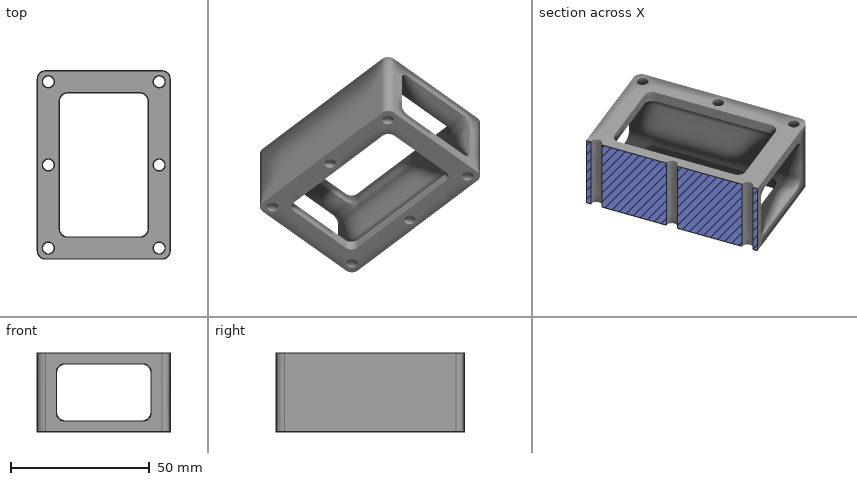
import cadquery as cq

width = 48.0
length = 68.0
height = 28.5
corner_radius = 3.0

window_width = 32.0
window_length = 52.0
window_radius = 3.0

passage_width = 34.0
passage_radius = 3.0
end_plate_thickness = 4.0
end_passage_height = height - 2 * end_plate_thickness

middle_plate_thickness = 3.25
middle_passage_height = height - 2 * middle_plate_thickness
middle_length = window_length - 2 * window_radius
taper_length = 2.5

hole_diameter = 4.2
hole_edge_distance = 4.0
hole_x = width / 2 - hole_edge_distance
hole_y = length / 2 - hole_edge_distance


def rounded_prism(size_x, size_y, size_z, radius, axis):
    """Centred box with the edges parallel to one axis rounded."""
    return cq.Workplane("XY").box(size_x, size_y, size_z).edges("|" + axis).fillet(radius)


def passage_section(section_height):
    """Rounded cross-section of the passage."""
    return cq.Sketch().rect(passage_width, section_height).vertices().fillet(passage_radius)


def passage_taper():
    """Transition from the taller middle of the passage to its +Y end."""
    start = cq.Plane(origin=(0, middle_length / 2, 0), xDir=(1, 0, 0), normal=(0, 1, 0))
    tall = passage_section(middle_passage_height)
    low = passage_section(end_passage_height).moved(cq.Location(cq.Vector(0, 0, taper_length)))
    return cq.Workplane(start).placeSketch(tall, low).loft(ruled=True)


def passage():
    through = rounded_prism(passage_width, length, end_passage_height, passage_radius, "Y")
    middle = rounded_prism(passage_width, middle_length, middle_passage_height, passage_radius, "Y")
    taper = passage_taper()
    return middle.union(taper).union(taper.mirror("XZ")).union(through)


def screw_holes():
    positions = [(x, y) for x in (-hole_x, hole_x) for y in (-hole_y, 0, hole_y)]
    return (
        cq.Workplane("XY")
        .pushPoints(positions)
        .circle(hole_diameter / 2)
        .extrude(height / 2, both=True)
    )


block = rounded_prism(width, length, height, corner_radius, "Z")
window = rounded_prism(window_width, window_length, height, window_radius, "Z")

result = block.cut(passage()).cut(window).cut(screw_holes())